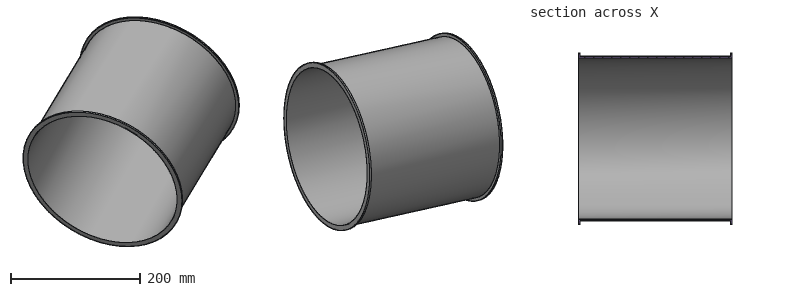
import cadquery as cq

BORE_DIAMETER = 249.0
TUBE_DIAMETER = 255.0
FLANGE_DIAMETER = 265.0
LENGTH = 238.0
FLANGE_THICKNESS = 3.0


def cylinder_along_y(diameter, start_y, length):
    """Solid cylinder on the Y axis, running from start_y toward +Y."""
    base = cq.Workplane("XZ", origin=(0, start_y, 0))
    return base.circle(diameter / 2).extrude(-length)


front_y = -LENGTH / 2
body = cylinder_along_y(TUBE_DIAMETER, front_y, LENGTH)

for flange_y in (front_y, -front_y - FLANGE_THICKNESS):
    body = body.union(cylinder_along_y(FLANGE_DIAMETER, flange_y, FLANGE_THICKNESS))

result = body.cut(cylinder_along_y(BORE_DIAMETER, front_y, LENGTH))